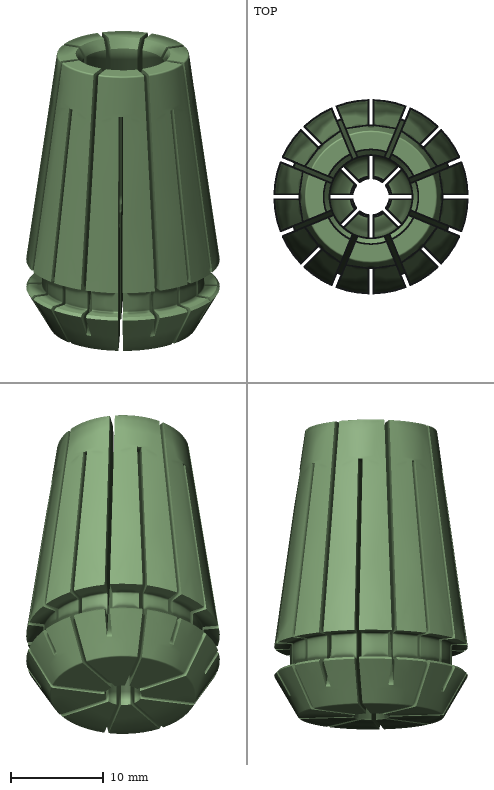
import cadquery as cq
import math


length = 31.5
max_diameter = 21.0
max_radius = max_diameter / 2

body_taper_angle = 8.0
nose_taper_angle = 30.0
nose_rim_height = 4.5
rim_chamfer = 0.28
end_fillet = 0.2

groove_diameter = 17.58
groove_bottom = 4.8
groove_top = 7.7
groove_fillet = 0.15

grip_bore_diameter = 4.0
grip_bore_length = 12.6
grip_bore_chamfer = 0.22
rear_bore_diameter = 9.0
rear_bore_chamfer = 0.63
rear_bore_chamfer_angle = 30.0
step_fillet = 0.82

slots_per_end = 8
nose_slot_width = 0.5
nose_slot_top = 27.1
rear_slot_width = 0.57
rear_slot_bottom = 1.92
rear_slot_floor_angle = 14.5


def taper_run(height, angle):
    """Radial change of a slope over a height, for an angle from the axis."""
    return height * math.tan(math.radians(angle))


def revolved(outline):
    """Turn an outline of (radius, height) points around the Z axis."""
    return cq.Workplane("XZ").polyline(outline).close().revolve(360, (0, 0), (0, 1))


def nose_radius_at(height):
    return max_radius - taper_run(nose_rim_height - height, nose_taper_angle)


def outer_body():
    """Long rear taper and short nose taper, with both end edges rounded."""
    rear_radius = max_radius - taper_run(length - groove_top, body_taper_angle)
    body = revolved([
        (0, 0),
        (nose_radius_at(0), 0),
        (max_radius, nose_rim_height),
        (max_radius - rim_chamfer, groove_bottom),
        (max_radius, groove_bottom),
        (max_radius, groove_top),
        (rear_radius, length),
        (0, length),
    ])
    return body.faces("<Z or >Z").edges().fillet(end_fillet)


def groove():
    """Ring to cut away; its rounded inner edges become the groove's root fillets."""
    ring = (
        cq.Workplane("XY", origin=(0, 0, groove_bottom))
        .circle(max_radius)
        .circle(groove_diameter / 2)
        .extrude(groove_top - groove_bottom)
    )
    smallest_radius = cq.selectors.RadiusNthSelector(0)
    return ring.edges(smallest_radius).fillet(groove_fillet)


def grip_bore():
    """Narrow hole through the nose, chamfered where it meets the wide bore."""
    radius = grip_bore_diameter / 2
    return revolved([
        (0, 0),
        (radius, 0),
        (radius, grip_bore_length - grip_bore_chamfer),
        (radius + grip_bore_chamfer, grip_bore_length),
        (0, grip_bore_length),
    ])


def rear_bore():
    """Wide bore from the rear, with a rounded floor corner and a chamfered mouth."""
    radius = rear_bore_diameter / 2
    chamfer_depth = rear_bore_chamfer / math.tan(math.radians(rear_bore_chamfer_angle))
    bore = revolved([
        (0, grip_bore_length),
        (radius, grip_bore_length),
        (radius, length - chamfer_depth),
        (radius + rear_bore_chamfer, length),
        (0, length),
    ])
    return bore.faces("<Z").edges().fillet(step_fillet)


def nose_slot():
    """Slot through one wall, open at the nose, with a flat top."""
    return cq.Workplane("XY").box(
        max_radius, nose_slot_width, nose_slot_top, centered=(False, True, False)
    )


def rear_slot():
    """Slot through one wall, open at the rear, with a floor that rises steeply inward."""
    floor_outer_radius = nose_radius_at(rear_slot_bottom)
    floor_inner_radius = floor_outer_radius - taper_run(length - rear_slot_bottom, rear_slot_floor_angle)
    outline = [
        (floor_outer_radius, rear_slot_bottom),
        (max_radius, rear_slot_bottom),
        (max_radius, length),
        (floor_inner_radius, length),
    ]
    return cq.Workplane("XZ").polyline(outline).close().extrude(rear_slot_width / 2, both=True)


def turned(shape, angle):
    return shape.rotate((0, 0, 0), (0, 0, 1), angle)


collet = outer_body().cut(groove()).cut(grip_bore()).cut(rear_bore())

slot_pitch = 360 / slots_per_end
for index in range(slots_per_end):
    angle = index * slot_pitch
    collet = collet.cut(turned(nose_slot(), angle))
    collet = collet.cut(turned(rear_slot(), angle + slot_pitch / 2))

result = collet